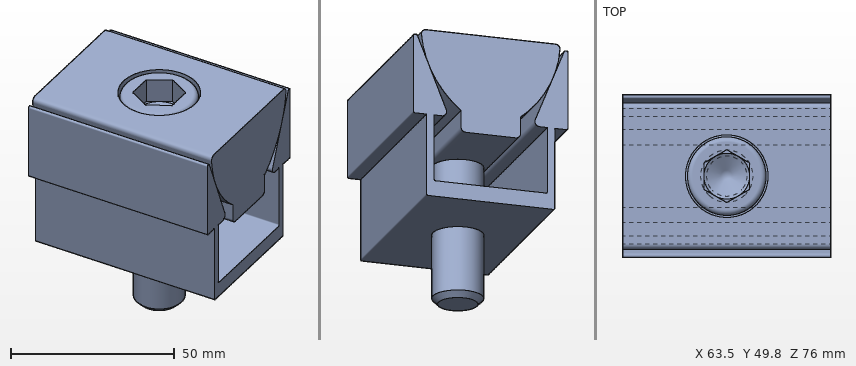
import cadquery as cq
import math

LENGTH = 63.5

JAW_WIDTH = 49.8
JAW_OUTER_Y = JAW_WIDTH / 2
JAW_TIP_Y = 23.8
JAW_TOP_Z = 51.8
JAW_BOTTOM_Z = 26.3
JAW_ANGLE = math.radians(22)
JAW_NOSE_RADIUS = 1.5
WALL_OUTER_Y = 20.7
WALL_INNER_Y = 18.25
FLOOR_TOP_Z = 5.0
CHANNEL_CORNER_RADIUS = 0.5

WEDGE_TOP_Z = 53.65
WEDGE_BOTTOM_Z = 21.8
FLANK_RADIUS = 33.4
CONTACT_Z = 42.55
STEM_HALF_WIDTH = 9.6
WEDGE_CORNER_RADIUS = 1.5

SCREW_LENGTH = 76
SCREW_TIP_Z = WEDGE_TOP_Z - SCREW_LENGTH
SHANK_RADIUS = 8.0
TIP_CHAMFER = 1.8
HEAD_RADIUS = 12.0
HEAD_HEIGHT = 16.0
HEAD_EDGE_RADIUS = 1.6
HEAD_BORE_RADIUS = 12.6
SOCKET_WIDTH = 14.0
SOCKET_DEPTH = 8.0
SOCKET_CONE_ANGLE = math.radians(30)

HEAD_TOP_Z = WEDGE_TOP_Z
HEAD_SEAT_Z = HEAD_TOP_Z - HEAD_HEIGHT


def jaw_face_y(z):
    """Distance of the sloped jaw face from the middle plane at height z."""
    return JAW_TIP_Y - (JAW_TOP_Z - z) * math.tan(JAW_ANGLE)


def cylinder(radius, bottom_z, top_z):
    return cq.Workplane("XY").workplane(offset=bottom_z).circle(radius).extrude(top_z - bottom_z)


def edges_at(body, y, z):
    """The pair of lengthwise edges at +y and -y, height z."""
    points = [(0, side * y, z) for side in (-1, 1)]
    selector = cq.selectors.NearestToPointSelector(points[0])
    return body.edges(selector + cq.selectors.NearestToPointSelector(points[1]))


def make_channel():
    half_outline = [
        (WALL_OUTER_Y, 0),
        (WALL_OUTER_Y, JAW_BOTTOM_Z),
        (JAW_OUTER_Y, JAW_BOTTOM_Z),
        (JAW_OUTER_Y, JAW_TOP_Z),
        (JAW_TIP_Y, JAW_TOP_Z),
        (jaw_face_y(JAW_BOTTOM_Z), JAW_BOTTOM_Z),
        (WALL_INNER_Y, JAW_BOTTOM_Z),
        (WALL_INNER_Y, FLOOR_TOP_Z),
    ]
    mirrored = [(-y, z) for y, z in reversed(half_outline)]
    channel = cq.Workplane("YZ").polyline(half_outline + mirrored).close().extrude(LENGTH / 2, both=True)
    channel = edges_at(channel, jaw_face_y(JAW_BOTTOM_Z), JAW_BOTTOM_Z).fillet(JAW_NOSE_RADIUS)
    small_corners = [
        (WALL_OUTER_Y, 0),
        (WALL_INNER_Y, FLOOR_TOP_Z),
        (JAW_OUTER_Y, JAW_BOTTOM_Z),
        (JAW_OUTER_Y, JAW_TOP_Z),
        (JAW_TIP_Y, JAW_TOP_Z),
    ]
    for y, z in small_corners:
        channel = edges_at(channel, y, z).fillet(CHANNEL_CORNER_RADIUS)
    return channel.cut(cylinder(SHANK_RADIUS, 0, FLOOR_TOP_Z))


def make_wedge():
    center_y = jaw_face_y(CONTACT_Z) - FLANK_RADIUS * math.cos(JAW_ANGLE)
    center_z = CONTACT_Z + FLANK_RADIUS * math.sin(JAW_ANGLE)

    def flank_y(z):
        return center_y + math.sqrt(FLANK_RADIUS**2 - (z - center_z) ** 2)

    top_y = flank_y(WEDGE_TOP_Z)
    contact_y = flank_y(CONTACT_Z)
    shoulder_z = center_z - math.sqrt(FLANK_RADIUS**2 - (STEM_HALF_WIDTH - center_y) ** 2)
    wedge = (
        cq.Workplane("YZ")
        .moveTo(-STEM_HALF_WIDTH, WEDGE_BOTTOM_Z)
        .lineTo(STEM_HALF_WIDTH, WEDGE_BOTTOM_Z)
        .lineTo(STEM_HALF_WIDTH, shoulder_z)
        .threePointArc((contact_y, CONTACT_Z), (top_y, WEDGE_TOP_Z))
        .lineTo(-top_y, WEDGE_TOP_Z)
        .threePointArc((-contact_y, CONTACT_Z), (-STEM_HALF_WIDTH, shoulder_z))
        .close()
        .extrude(LENGTH / 2, both=True)
    )
    wedge = edges_at(wedge, top_y, WEDGE_TOP_Z).fillet(WEDGE_CORNER_RADIUS)
    wedge = edges_at(wedge, STEM_HALF_WIDTH, WEDGE_BOTTOM_Z).fillet(WEDGE_CORNER_RADIUS)
    wedge = wedge.cut(cylinder(SHANK_RADIUS, WEDGE_BOTTOM_Z, HEAD_SEAT_Z))
    return wedge.cut(cylinder(HEAD_BORE_RADIUS, HEAD_SEAT_Z, WEDGE_TOP_Z))


def make_screw():
    shank = cylinder(SHANK_RADIUS, SCREW_TIP_Z, HEAD_SEAT_Z).faces("<Z").chamfer(TIP_CHAMFER)
    head = cylinder(HEAD_RADIUS, HEAD_SEAT_Z, HEAD_TOP_Z).faces(">Z").edges().fillet(HEAD_EDGE_RADIUS)

    socket_floor_z = HEAD_TOP_Z - SOCKET_DEPTH
    socket = (
        cq.Workplane("XY")
        .workplane(offset=socket_floor_z)
        .polygon(6, SOCKET_WIDTH, circumscribed=True)
        .extrude(SOCKET_DEPTH)
    )
    cone_radius = SOCKET_WIDTH / 2
    cone_depth = cone_radius * math.tan(SOCKET_CONE_ANGLE)
    drill_point = cq.Solid.makeCone(
        cone_radius, 0, cone_depth, pnt=cq.Vector(0, 0, socket_floor_z), dir=cq.Vector(0, 0, -1)
    )
    return shank.union(head).cut(socket).cut(cq.Workplane(drill_point))


channel = make_channel()
wedge = make_wedge()
screw = make_screw()

result = cq.Compound.makeCompound([channel.val(), wedge.val(), screw.val()])